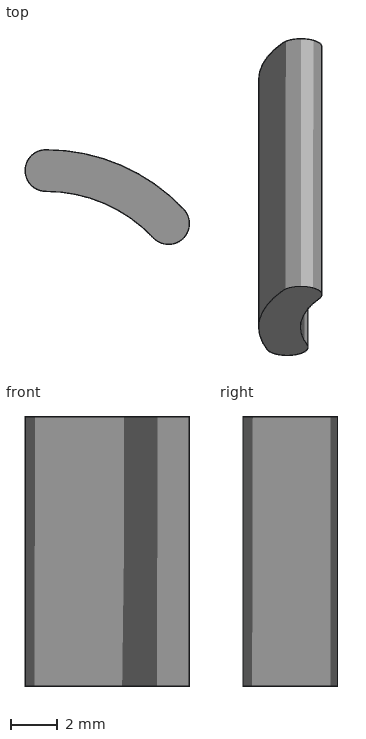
import cadquery as cq
import math

length_x = 7.07
length_y = 4.08
height = 11.6
thickness = 1.8

end_radius = thickness / 2
run = length_x - thickness
drop = length_y - thickness
sweep = 2 * math.atan2(drop, run)
mid_radius = run / math.sin(sweep)
inner_radius = mid_radius - end_radius
outer_radius = mid_radius + end_radius


def on_arc(radius, angle):
    """Point at a clockwise angle from +Y on a circle about the Z axis."""
    return (radius * math.sin(angle), radius * math.cos(angle))


def end_tip(angle, outward):
    """Extreme point of a rounded end; outward is +1 or -1 along the sweep."""
    x, y = on_arc(mid_radius, angle)
    return (
        x + outward * end_radius * math.cos(angle),
        y - outward * end_radius * math.sin(angle),
    )


def curved_wall():
    """Arc-shaped wall with full-round ends, extruded upwards from Z = 0."""
    return (
        cq.Workplane("XY")
        .moveTo(*on_arc(outer_radius, 0))
        .threePointArc(on_arc(outer_radius, sweep / 2), on_arc(outer_radius, sweep))
        .threePointArc(end_tip(sweep, 1), on_arc(inner_radius, sweep))
        .threePointArc(on_arc(inner_radius, sweep / 2), on_arc(inner_radius, 0))
        .threePointArc(end_tip(0, -1), on_arc(outer_radius, 0))
        .close()
        .extrude(height)
    )


result = curved_wall()